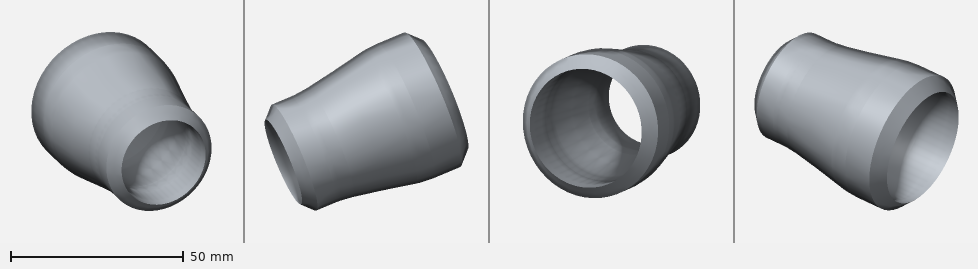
import cadquery as cq

length = 51.0
large_radius = 21.15
small_radius = 16.7
large_wall = 3.65
small_wall = 3.35
large_bore_radius = large_radius - large_wall
small_bore_radius = small_radius - small_wall

large_bevel_length = large_wall
large_straight_end = 12.35
cone_start = 17.75
cone_end = 36.2
small_straight_start = 41.75
small_bevel_length = small_wall

large_blend_drop = 0.55
small_blend_drop = 0.45

axis_direction = (1, 0)
cone_start_direction = (1, -2 * large_blend_drop / (cone_start - large_straight_end))
cone_end_direction = (1, -2 * small_blend_drop / (small_straight_start - cone_end))


def transition(profile, start_radius, end_radius):
    """Continue the profile from the large straight end to the small one."""
    cone_start_point = (cone_start, start_radius - large_blend_drop)
    cone_end_point = (cone_end, end_radius + small_blend_drop)
    return (
        profile.lineTo(large_straight_end, start_radius)
        .spline([cone_start_point], tangents=[axis_direction, cone_start_direction], includeCurrent=True)
        .spline([cone_end_point], tangents=[cone_start_direction, cone_end_direction], includeCurrent=True)
        .spline(
            [(small_straight_start, end_radius)],
            tangents=[cone_end_direction, axis_direction],
            includeCurrent=True,
        )
    )


def outer_body():
    profile = (
        cq.Workplane("XY")
        .lineTo(0, large_bore_radius)
        .lineTo(large_bevel_length, large_radius)
    )
    profile = (
        transition(profile, large_radius, small_radius)
        .lineTo(length - small_bevel_length, small_radius)
        .lineTo(length, small_bore_radius)
        .lineTo(length, 0)
        .close()
    )
    return profile.revolve(360, (0, 0, 0), (1, 0, 0))


def bore():
    profile = cq.Workplane("XY").lineTo(0, large_bore_radius)
    profile = (
        transition(profile, large_bore_radius, small_bore_radius)
        .lineTo(length, small_bore_radius)
        .lineTo(length, 0)
        .close()
    )
    return profile.revolve(360, (0, 0, 0), (1, 0, 0))


result = outer_body().cut(bore())